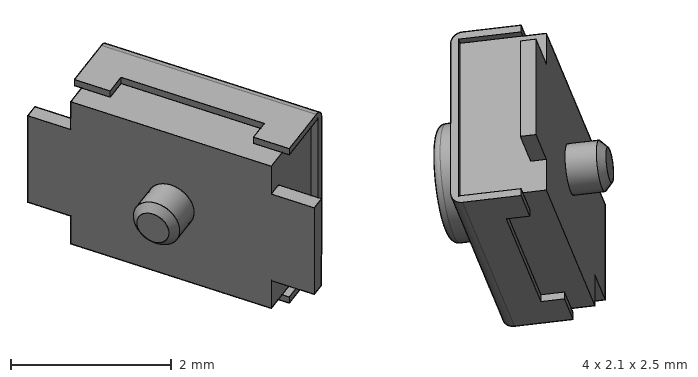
import cadquery as cq


overall_length = 4.0
terminal_length = 1.0
terminal_width = 1.4
terminal_thickness = 0.2

cover_length = 3.0
cover_width = 2.5
sheet_thickness = 0.1
cover_top = 1.2
wall_bottom = 0.3
bend_radius = 0.15
notch_length = 2.0
notch_top = 0.6

body_length = cover_length - 2 * sheet_thickness
body_width = cover_width - 2 * sheet_thickness
body_depth = cover_top - sheet_thickness

button_diameter = 1.5
button_height = 0.4
button_fillet = 0.1
pin_diameter = 0.65
pin_length = 0.5
pin_chamfer = 0.1


def block(length, width, y_start, y_end, x_center=0.0):
    """Box centred on Z = 0 that spans the given Y range."""
    depth = y_end - y_start
    y_center = y_start + depth / 2
    return cq.Workplane("XY").box(length, depth, width).translate((x_center, y_center, 0))


def make_cover():
    outer = block(cover_length, cover_width, wall_bottom, cover_top)
    outer = outer.edges("|X and >Y").fillet(bend_radius)
    inside = block(cover_length, body_width, wall_bottom, body_depth)
    notches = block(notch_length, cover_width, wall_bottom, notch_top)
    return outer.cut(inside).cut(notches)


def make_terminal(side):
    x_center = side * (overall_length - terminal_length) / 2
    return block(terminal_length, terminal_width, 0, terminal_thickness, x_center)


def make_button():
    button = cq.Workplane("XZ", origin=(0, cover_top, 0)).circle(button_diameter / 2)
    return button.extrude(-button_height).faces(">Y").edges().fillet(button_fillet)


def make_pin():
    pin = cq.Workplane("XZ").circle(pin_diameter / 2).extrude(pin_length)
    return pin.faces("<Y").edges().chamfer(pin_chamfer)


result = block(body_length, body_width, 0, body_depth)
result = result.union(make_cover())
for side in (-1, 1):
    result = result.union(make_terminal(side))
result = result.union(make_button()).union(make_pin())